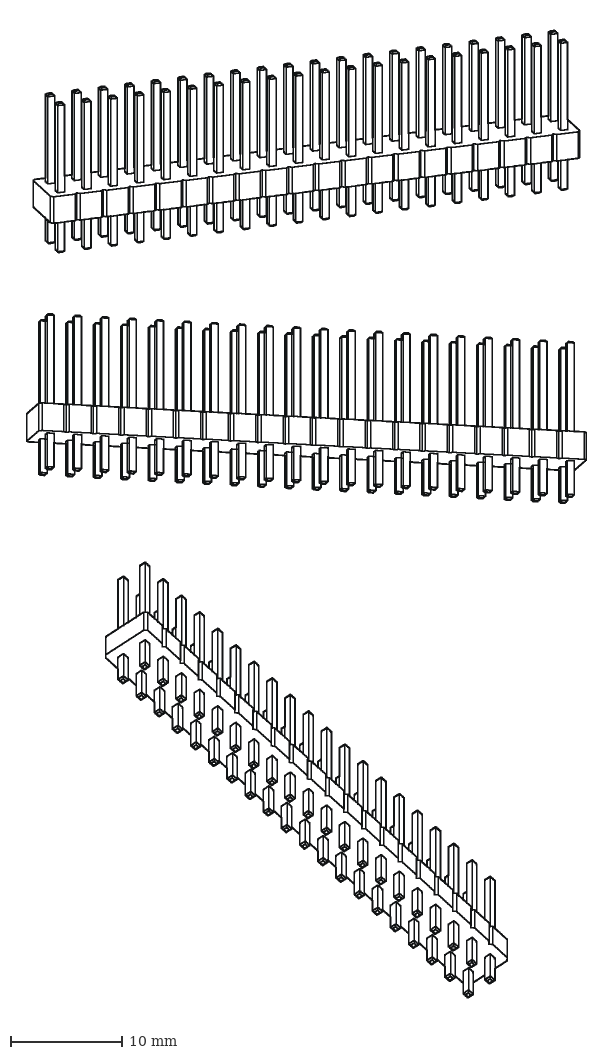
import cadquery as cq

positions = 20
rows = 2
body_length = 50.8
pitch = body_length / positions

body_width = 5.0
body_height = 2.55
corner_chamfer = 0.25

pin_side = 0.65
pin_length_above = 8.5
pin_length_below = 3.25
pin_tip_chamfer = 0.15


def grid_points():
    """Pin centres, placed symmetrically about the origin."""
    return [
        ((row - (rows - 1) / 2) * pitch, (position - (positions - 1) / 2) * pitch)
        for row in range(rows)
        for position in range(positions)
    ]


def body_outline():
    """Chamfered cells in a line, leaving V notches between neighbouring cells."""
    outer_x = body_width / 2
    notch_x = outer_x - corner_chamfer
    right_edge = [(notch_x, -body_length / 2)]
    for position in range(positions):
        cell_start = position * pitch - body_length / 2
        cell_end = cell_start + pitch
        right_edge.append((outer_x, cell_start + corner_chamfer))
        right_edge.append((outer_x, cell_end - corner_chamfer))
        right_edge.append((notch_x, cell_end))
    left_edge = [(-x, y) for x, y in reversed(right_edge)]
    return right_edge + left_edge


def make_body():
    return cq.Workplane("XY").polyline(body_outline()).close().extrude(body_height)


def make_pins():
    """All pins, with the edges of both tips of each pin chamfered."""
    pin_length = pin_length_below + body_height + pin_length_above
    return (
        cq.Workplane("XY", origin=(0, 0, -pin_length_below))
        .pushPoints(grid_points())
        .rect(pin_side, pin_side)
        .extrude(pin_length)
        .faces("<Z or >Z")
        .chamfer(pin_tip_chamfer)
    )


result = make_body().union(make_pins())